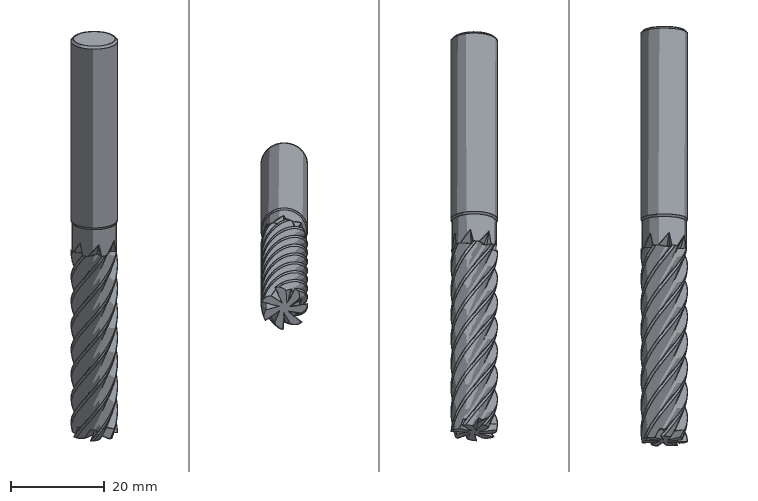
import cadquery as cq
import math

overall_length = 90.0
tool_diameter = 10.0
tool_radius = tool_diameter / 2

neck_diameter = 9.5
neck_radius = neck_diameter / 2
cutting_length = 42.0
neck_cone_bottom = 48.2
neck_cone_top = 48.7
shank_chamfer = 0.5

flute_count = 7
tooth_pitch = 360.0 / flute_count
helix_angle = 39.0
helix_lead = math.pi * tool_diameter / math.tan(math.radians(helix_angle))
edge_angle_at_neck = -48.0
tip_to_neck_twist = 360.0 * cutting_length / helix_lead
edge_angle_at_tip = edge_angle_at_neck - tip_to_neck_twist

heel = (4.85, 9.0)
back_middle = (4.3, 22.0)
back_end = (3.5, 34.0)
gullet_bottom = (3.25, 40.5)
rake_start = (3.7, tooth_pitch - 2.5)

gash_height = 1.9
gash_root_radius = 1.2
gash_twist = 360.0 * gash_height / helix_lead
gash_spread = 26.0
gash_outer_radius = tool_radius + 1.0

runout_length = 2.7
runout_start = 15.0
runout_apex_offset = 8.0
runout_outer_radius = tool_radius + 2.0


def polar(radius, angle):
    """Point in the XY plane at a radius and an angle in degrees."""
    turn = math.radians(angle)
    return (radius * math.cos(turn), radius * math.sin(turn))


def tooth_point(place, edge_angle):
    """Point of the tooth section whose cutting edge lies at edge_angle."""
    radius, angle_behind = place
    return polar(radius, edge_angle + angle_behind)


def make_fluted_bar():
    """Twisted bar with teeth separated by helical flutes."""
    section = cq.Workplane("XY").moveTo(*polar(tool_radius, edge_angle_at_tip))
    for tooth in range(flute_count):
        edge_angle = edge_angle_at_tip + tooth * tooth_pitch
        section = (
            section.lineTo(*tooth_point(heel, edge_angle))
            .threePointArc(
                tooth_point(back_middle, edge_angle),
                tooth_point(back_end, edge_angle),
            )
            .threePointArc(
                tooth_point(gullet_bottom, edge_angle),
                tooth_point(rake_start, edge_angle),
            )
        )
        if tooth < flute_count - 1:
            section = section.lineTo(*polar(tool_radius, edge_angle + tooth_pitch))
    return section.close().twistExtrude(cutting_length, tip_to_neck_twist)


def make_end_gash(edge_angle):
    """Wedge that deepens the flute along the face of the tooth that follows edge_angle."""
    next_edge = edge_angle + tooth_pitch
    return (
        cq.Workplane("XY")
        .moveTo(*polar(gash_root_radius, next_edge))
        .lineTo(*polar(gash_outer_radius, next_edge - gash_spread))
        .lineTo(*polar(gash_outer_radius, next_edge))
        .close()
        .twistExtrude(gash_height, gash_twist)
    )


def make_cutter():
    """Fluted bar with the end gashes cut into its tip."""
    gashes = []
    for tooth in range(flute_count):
        gashes.append(make_end_gash(edge_angle_at_tip + tooth * tooth_pitch).val())
    return make_fluted_bar().val().cut(*gashes)


def flat_face(corners):
    """Flat face bounded by straight edges through the corners."""
    return cq.Face.makeFromWires(cq.Wire.makePolygon(corners, close=True))


def make_runout(edge_angle):
    """Pyramid that carries one flute up into the neck and narrows to a point on its surface."""
    next_edge = edge_angle + tooth_pitch
    outline = [
        polar(neck_radius, edge_angle + runout_start),
        tooth_point(gullet_bottom, edge_angle),
        tooth_point(rake_start, edge_angle),
        polar(tool_radius, next_edge),
        polar(runout_outer_radius, edge_angle + tooth_pitch / 2),
    ]
    base = [cq.Vector(x, y, cutting_length) for x, y in outline]
    apex = cq.Vector(
        *polar(neck_radius, next_edge - runout_apex_offset),
        cutting_length + runout_length,
    )
    faces = [flat_face(base)]
    for corner, next_corner in zip(base, base[1:] + base[:1]):
        faces.append(flat_face([corner, next_corner, apex]))
    return cq.Solid.makeSolid(cq.Shell.makeShell(faces))


def make_shank():
    """Shank and neck turned about Z, with a short cone between them and a chamfered top."""
    shank = (
        cq.Workplane("XZ")
        .moveTo(0, cutting_length)
        .lineTo(neck_radius, cutting_length)
        .lineTo(neck_radius, neck_cone_bottom)
        .lineTo(tool_radius, neck_cone_top)
        .lineTo(tool_radius, overall_length - shank_chamfer)
        .lineTo(tool_radius - shank_chamfer, overall_length)
        .lineTo(0, overall_length)
        .close()
        .revolve(360, (0, 0, 0), (0, 1, 0))
    )
    runouts = []
    for tooth in range(flute_count):
        runouts.append(make_runout(edge_angle_at_neck + tooth * tooth_pitch))
    return shank.val().cut(*runouts)


cutter = make_cutter()
shank = make_shank()

result = cq.Compound.makeCompound([*cutter.Solids(), *shank.Solids()])